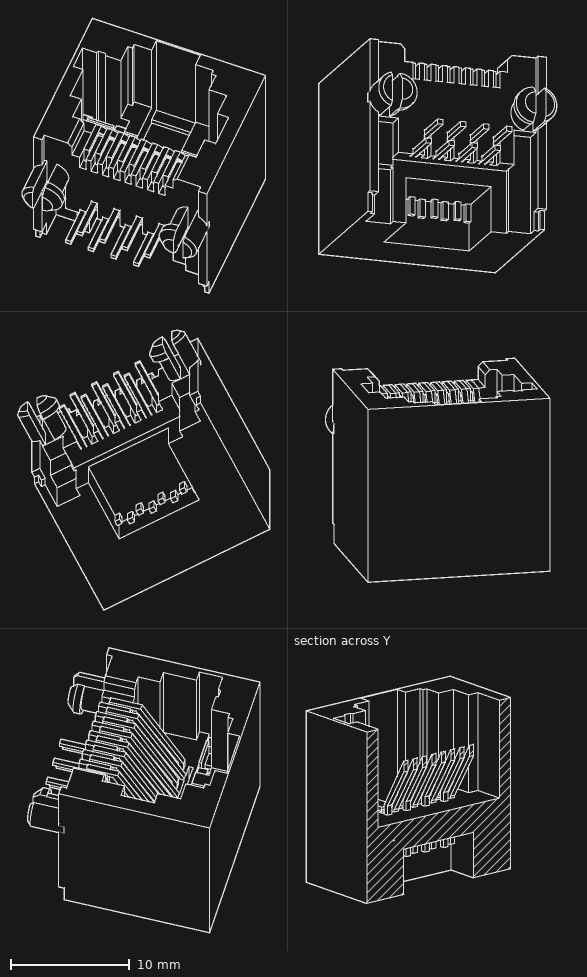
import cadquery as cq
import math


body_width = 15.75
body_depth = 12.72
body_height = 15.1
half_width = body_width / 2

rail_inner = 7.1
rail_depth = 0.5
rail_bottom = 1.66
rail_foot_inner = 7.47

recess_inner = 5.15
recess_top = 8.51
recess_depth = 1.44
undercut_top = 5.49
undercut_depth = 2.0
corner_pocket_inner = 4.95
corner_pocket_top = 4.77

front_wall = 2.69
shoulder_front = 4.62
shoulder_back = 7.52
plug_back = 9.55
latch_side_back = 11.12
latch_step_back = 11.54
latch_back = 12.58
plug_half = 5.6
shoulder_half = 6.6
latch_side_half = 4.0
latch_step_half = 3.58
latch_half = 2.0

bay_left = -7.49
bay_right = -3.2
bay_post_left = -6.6
bay_post_right = -4.24
groove_right = -5.38
groove_left = -6.22
groove_depth = 0.2
groove_bevel = 0.11
bay_post_back = 9.18
bay_rib_back = 8.6

main_floor = 6.5
main_floor_back = 8.38
back_floor = 6.74
side_floor = 5.5
side_floor_front = 8.82
latch_floor = 4.5
latch_end_floor = 5.0
post_floor = 6.0
ledge_floor = 5.5
groove_floor = 5.0
deep_floor = 4.5
sill_half = 3.76
sill_front = 7.65
sill_back = 8.02

comb_half = 4.58
comb_top = 13.58
comb_chamfer = 0.4
slot_floor = 12.13

contact_count = 8
contact_pitch = 1.02
contact_width = 0.48
contact_thickness = 0.43
contact_top = 13.8
contact_leg_front = 0.8
contact_bend = 3.55
contact_bottom = 2.45
spring_angle = 60.0
tail_tip = -3.28
low_tail_bottom = undercut_top
high_tail_bottom = 7.26
short_contact_end = 7.3
long_contact_end = sill_front
slot_clearance = 0.05
slot_width = contact_width + 2 * slot_clearance

pocket_half = 3.8
pocket_top = 3.98
pocket_back = sill_front

peg_x = 6.4
peg_z = 10.05
peg_radius = 1.54
peg_gap_outer = 6.83
peg_gap_inner = 5.95
peg_tip_chamfer = 0.32
barb_top = -2.08
barb_chamfer = 0.6


def block(x0, x1, y0, y1, z0, z1):
    """Box between two opposite corners."""
    return cq.Workplane("XY").box(x1 - x0, y1 - y0, z1 - z0, centered=False).translate((x0, y0, z0))


def mirrored(shape):
    """The shape joined with its mirror image across X = 0."""
    return shape.union(shape.mirror("YZ"))


def make_shell():
    rail = block(rail_inner, half_width, -rail_depth, 0, rail_bottom, body_height)
    foot_notch = block(rail_inner, rail_foot_inner, 0, rail_depth, 0, rail_bottom)
    shell = block(-half_width, half_width, 0, body_depth, 0, body_height)
    return shell.union(mirrored(rail)).cut(mirrored(foot_notch))


def front_recesses():
    side = block(recess_inner, rail_inner, 0, recess_depth, 0, recess_top)
    undercut = block(-recess_inner, recess_inner, 0, undercut_depth, 0, undercut_top)
    corner = block(-rail_inner, -corner_pocket_inner, 0, front_wall, 0, corner_pocket_top)
    pocket = block(-pocket_half, pocket_half, 0, pocket_back, 0, pocket_top)
    return mirrored(side).union(undercut).union(corner).union(pocket)


def plug_opening():
    def well(x0, x1, y0, y1, floor):
        return block(x0, x1, y0, y1, floor, body_height)

    opening = well(-plug_half, plug_half, front_wall, main_floor_back, main_floor)
    opening = opening.union(well(-shoulder_half, shoulder_half, shoulder_front, shoulder_back, main_floor))
    opening = opening.union(well(bay_left, -plug_half, shoulder_back, main_floor_back, main_floor))
    opening = opening.union(well(latch_side_half, plug_half, main_floor_back, side_floor_front, main_floor))
    opening = opening.union(well(latch_side_half, plug_half, side_floor_front, plug_back, side_floor))

    for x, y0, y1 in (
        (latch_side_half, main_floor_back, latch_side_back),
        (latch_step_half, latch_side_back, latch_step_back),
    ):
        opening = opening.union(well(-x, x, y0, y1, back_floor))
    opening = opening.union(well(-latch_half, latch_half, latch_step_back, latch_back, latch_end_floor))
    opening = opening.union(well(-latch_half, latch_half, sill_back, latch_step_back, latch_floor))
    return opening.union(well(-sill_half, sill_half, sill_front, sill_back, latch_floor))


def side_bay():
    opening = block(bay_left, -latch_side_half, main_floor_back, plug_back, back_floor, body_height)
    groove_back = plug_back + groove_depth
    groove = (
        cq.Workplane("XY")
        .workplane(offset=groove_floor)
        .moveTo(groove_left, plug_back)
        .lineTo(groove_left + groove_bevel, groove_back)
        .lineTo(groove_right - groove_bevel, groove_back)
        .lineTo(groove_right, plug_back)
        .close()
        .extrude(body_height - groove_floor)
    )
    bay = opening.union(groove)
    for x0, x1 in ((bay_left, bay_post_left), (bay_post_right, bay_right)):
        bay = bay.union(block(x0, x1, main_floor_back, bay_post_back, post_floor, back_floor))
        bay = bay.union(block(x0, x1, bay_post_back, plug_back, ledge_floor, back_floor))
    bay = bay.union(block(bay_post_left, groove_right, bay_rib_back, plug_back, groove_floor, back_floor))
    return bay.union(block(groove_right, bay_post_right, bay_rib_back, plug_back, deep_floor, back_floor))


def comb_notch():
    """Lowered part of the front wall, its upper corners bevelled."""
    bevel_bottom = body_height - comb_chamfer
    bevel_half = comb_half + comb_chamfer
    return (
        cq.Workplane("XZ")
        .moveTo(-comb_half, comb_top)
        .lineTo(-comb_half, bevel_bottom)
        .lineTo(-bevel_half, body_height)
        .lineTo(bevel_half, body_height)
        .lineTo(comb_half, bevel_bottom)
        .lineTo(comb_half, comb_top)
        .close()
        .extrude(-front_wall)
    )


def contact_slots(x, tail_bottom):
    x0 = x - slot_width / 2
    x1 = x + slot_width / 2
    tail_top = tail_bottom + contact_thickness + slot_clearance
    upper = block(x0, x1, 0, front_wall, slot_floor, body_height)
    lower = block(x0, x1, 0, contact_leg_front, undercut_top, tail_top)
    return upper.union(lower)


def contact(x, tail_bottom, end_y):
    """Board tail, upright leg, top run, slanted spring and short vertical end."""
    tail_top = tail_bottom + contact_thickness
    leg_back = contact_leg_front + contact_thickness
    elbow_z = contact_top - (end_y - contact_bend) * math.tan(math.radians(spring_angle))
    return (
        cq.Workplane("YZ")
        .moveTo(tail_tip, tail_bottom)
        .lineTo(leg_back, tail_bottom)
        .lineTo(leg_back, contact_top - contact_thickness)
        .lineTo(contact_bend - contact_thickness, contact_top - contact_thickness)
        .lineTo(end_y - contact_thickness, elbow_z)
        .lineTo(end_y - contact_thickness, contact_bottom)
        .lineTo(end_y, contact_bottom)
        .lineTo(end_y, elbow_z)
        .lineTo(contact_bend, contact_top)
        .lineTo(contact_leg_front, contact_top)
        .lineTo(contact_leg_front, tail_top)
        .lineTo(tail_tip, tail_top)
        .close()
        .extrude(contact_width / 2, both=True)
        .translate((x, 0, 0))
    )


def snap_peg():
    """Peg on the +X side: a plain outer half and a barbed inner half, split by a gap."""

    def round_bar(x, y_start, tip_chamfer):
        bar = cq.Workplane("XZ", origin=(x, y_start, peg_z)).circle(peg_radius).extrude(y_start - tail_tip)
        return bar.faces("<Y").chamfer(tip_chamfer)

    def slab(x0, x1):
        return block(x0, x1, tail_tip, 0, peg_z - peg_radius, peg_z + peg_radius)

    outer_reach = peg_x + peg_radius
    inner_reach = peg_gap_inner - peg_radius
    outer_half = round_bar(peg_x, 0, peg_tip_chamfer).intersect(slab(peg_gap_outer, outer_reach))
    shaft = cq.Workplane("XZ", origin=(peg_x, 0, peg_z)).circle(peg_radius).extrude(-barb_top)
    barb = round_bar(peg_gap_inner, barb_top, barb_chamfer)
    inner_half = shaft.union(barb).intersect(slab(inner_reach, peg_gap_inner))
    return outer_half.union(inner_half)


result = make_shell().cut(front_recesses()).cut(plug_opening()).cut(side_bay()).cut(comb_notch())

for index in range(contact_count):
    contact_x = (index - (contact_count - 1) / 2) * contact_pitch
    is_high = index % 2 == 1
    tail_z = high_tail_bottom if is_high else low_tail_bottom
    end_position = long_contact_end if is_high else short_contact_end
    result = result.cut(contact_slots(contact_x, tail_z))
    result = result.union(contact(contact_x, tail_z, end_position))

result = result.union(mirrored(snap_peg()))